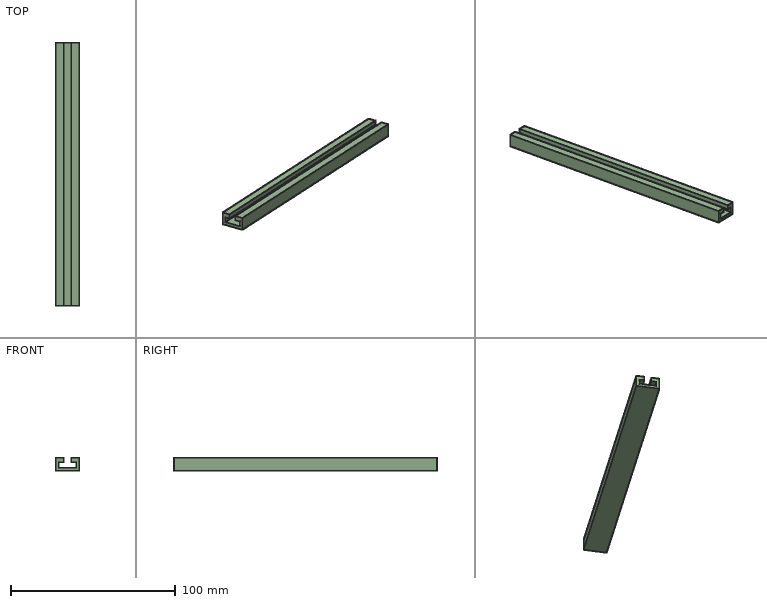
import cadquery as cq

rail_width = 14.4
rail_length = 160.0
rail_height = 8.0

wall_thickness = 2.0
floor_thickness = 2.0
lip_thickness = 2.8
slot_width = 4.4

cavity_width = rail_width - 2 * wall_thickness
cavity_height = rail_height - floor_thickness - lip_thickness


def centred_bar(width, height, base_z):
    """Full-length bar centred on X and Y, standing on the height base_z."""
    bar = cq.Workplane("XY").box(width, rail_length, height, centered=(True, True, False))
    return bar.translate((0, 0, base_z))


body = centred_bar(rail_width, rail_height, 0)

cavity = centred_bar(cavity_width, cavity_height, floor_thickness)

slot = centred_bar(slot_width, rail_height - floor_thickness, floor_thickness)

result = body.cut(cavity).cut(slot)